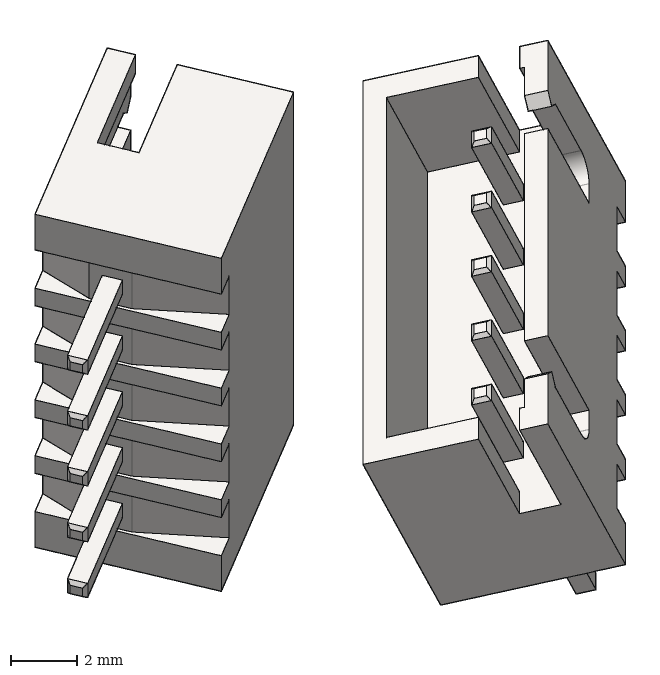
import cadquery as cq


pin_count = 5
pitch = 2.5
body_width = 5.91
body_depth = 7.14
body_length = 14.91
body_left = -2.42
body_right = body_left + body_width

side_wall = 0.75
end_wall = 0.85
opening_depth = 3.78

notch_left_offset = 0.9
notch_right_offset = 2.22

slot_outer = 1.95
slot_height = 1.48
slot_corner_radius = 0.73
tooth_length = 0.7
tooth_height = 0.35

pocket_height = 1.71
pocket_land_depth = 0.1
pocket_edge_depth = 0.77
land_left_offset = 1.69
land_right_offset = 3.05

pin_size = 0.64
pin_tail = 3.45
pin_recess = 0.75
tip_inset = 0.12
tip_length = 0.13

pin_heights = [(i - (pin_count - 1) / 2) * pitch for i in range(pin_count)]


def box(x_range, y_range, z_range):
    """Axis-aligned box spanning the given ranges."""
    (x0, x1), (y0, y1), (z0, z1) = x_range, y_range, z_range
    return cq.Workplane("XY").box(x1 - x0, y1 - y0, z1 - z0, centered=False).translate((x0, y0, z0))


def make_shell():
    """Housing block with the mating cavity and the end-wall notches removed."""
    half_length = body_length / 2
    inner_half = half_length - end_wall
    block = box((body_left, body_right), (0, body_depth), (-half_length, half_length))
    cavity = box(
        (body_left + side_wall, body_right - side_wall),
        (body_depth - opening_depth, body_depth),
        (-inner_half, inner_half),
    )
    notches = box(
        (body_left + notch_left_offset, body_left + notch_right_offset),
        (body_depth - opening_depth, body_depth),
        (-half_length, half_length),
    )
    return block.cut(cavity).cut(notches)


def make_upper_slot():
    """Slot beside the top pin: rounded outer corner, and a tooth left standing at its mouth."""
    outer = body_length / 2 - slot_outer
    inner = outer - slot_height
    bottom = body_depth - opening_depth
    return (
        cq.Workplane("YZ", origin=(body_left, 0, 0))
        .moveTo(body_depth, inner)
        .lineTo(bottom, inner)
        .lineTo(bottom, outer - slot_corner_radius)
        .radiusArc((bottom + slot_corner_radius, outer), slot_corner_radius)
        .lineTo(body_depth - tooth_length, outer)
        .lineTo(body_depth - tooth_length / 2, outer - tooth_height)
        .lineTo(body_depth, outer)
        .close()
        .extrude(side_wall)
    )


def make_pocket(height):
    """Relief around one pin: a shallow land that slopes deeper towards both sides."""
    return (
        cq.Workplane("XY", origin=(0, 0, height - pocket_height / 2))
        .moveTo(body_left, 0)
        .lineTo(body_right, 0)
        .lineTo(body_right, pocket_edge_depth)
        .lineTo(body_left + land_right_offset, pocket_land_depth)
        .lineTo(body_left + land_left_offset, pocket_land_depth)
        .lineTo(body_left, pocket_edge_depth)
        .close()
        .extrude(pocket_height)
    )


def make_pin(height):
    """Square pin with a chamfered tip at each end."""
    half = pin_size / 2
    pin = box(
        (-half, half),
        (-pin_tail, body_depth - pin_recess),
        (height - half, height + half),
    )
    return pin.faces("<Y or >Y").chamfer(tip_length, tip_inset)


upper_slot = make_upper_slot()
result = make_shell().cut(upper_slot).cut(upper_slot.mirror("XY"))
for pin_height in pin_heights:
    result = result.cut(make_pocket(pin_height))
for pin_height in pin_heights:
    result = result.union(make_pin(pin_height))